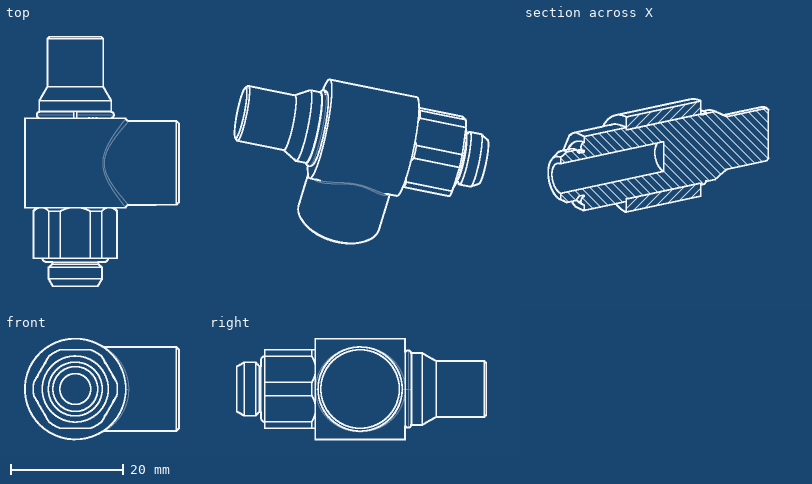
import cadquery as cq
import math


HOUSING_RADIUS = 9.0
HOUSING_START = 14.0
HOUSING_LENGTH = 16.0
HOUSING_END = HOUSING_START + HOUSING_LENGTH
HOUSING_MIDDLE = HOUSING_START + HOUSING_LENGTH / 2
BRANCH_RADIUS = 7.5
BRANCH_REACH = 18.5
BRANCH_CHAMFER = 0.5
BRANCH_FILLET = 0.49

THREAD_RADIUS = 4.8
THREAD_END = 3.4
TIP_RADIUS = 4.0
TIP_TAPER_ANGLE = 30
TIP_TAPER_LENGTH = (THREAD_RADIUS - TIP_RADIUS) / math.tan(math.radians(TIP_TAPER_ANGLE))
NECK_RADIUS = 4.1
NECK_START = 4.0
BORE_RADIUS = 2.75
BORE_DEPTH = HOUSING_MIDDLE

HEX_START = 5.0
HEX_ACROSS_FLATS = 14.0
HEX_ACROSS_CORNERS = HEX_ACROSS_FLATS / math.cos(math.radians(30))
HEX_TURNED_RADIUS = 7.5
HEX_CHAMFER_LENGTH = 0.6
HEX_CHAMFER_DEPTH = 0.43

SEAL_TUBE_RADIUS = 0.8
SEAL_OUTER_RADIUS = 5.9
SEAL_CENTRE_RADIUS = SEAL_OUTER_RADIUS - SEAL_TUBE_RADIUS
SEAL_FRONT = 4.33

SHANK_RADIUS = 6.45
COLLAR_END = 33.05
GRIP_RADIUS = 5.0
GRIP_TAPER_ANGLE = 30
GRIP_START = COLLAR_END + (SHANK_RADIUS - GRIP_RADIUS) / math.tan(math.radians(GRIP_TAPER_ANGLE))
SCREW_LENGTH = 44.5
GRIP_CHAMFER = 0.4

RING_TUBE_RADIUS = 0.55
RING_OUTER_RADIUS = 6.9
RING_CENTRE_RADIUS = RING_OUTER_RADIUS - RING_TUBE_RADIUS
RING_GAP = 0.5
GROOVE_RADIUS = RING_CENTRE_RADIUS
GROOVE_END = HOUSING_END + 1.2


def revolve_about_y(profile):
    return profile.revolve(360, (0, 0, 0), (0, 1, 0))


def turned(points):
    """Revolve a closed (radius, y) outline about the screw axis."""
    return revolve_about_y(cq.Workplane("XY").polyline(points).close())


def cylinder_y(radius, start, end):
    return cq.Workplane("XZ", origin=(0, start, 0)).circle(radius).extrude(start - end)


def torus_y(centre_radius, tube_radius, y):
    return revolve_about_y(cq.Workplane("XY").moveTo(centre_radius, y).circle(tube_radius))


def make_housing():
    barrel = cylinder_y(HOUSING_RADIUS, HOUSING_START, HOUSING_END)
    branch = (
        cq.Workplane("YZ")
        .center(HOUSING_MIDDLE, 0)
        .circle(BRANCH_RADIUS)
        .extrude(BRANCH_REACH)
        .faces(">X")
        .chamfer(BRANCH_CHAMFER)
    )
    rim_margin = (HOUSING_LENGTH / 2 - BRANCH_RADIUS) / 2
    joint_zone = cq.selectors.BoxSelector(
        (0, HOUSING_START + rim_margin, -HOUSING_RADIUS),
        ((HOUSING_RADIUS + BRANCH_REACH) / 2, HOUSING_END - rim_margin, HOUSING_RADIUS),
        boundingbox=True,
    )
    body = barrel.union(branch).edges(joint_zone).fillet(BRANCH_FILLET)
    return body.cut(cylinder_y(SHANK_RADIUS, HOUSING_START, HOUSING_END))


def make_hexagon():
    prism = (
        cq.Workplane("XZ", origin=(0, HEX_START, 0))
        .polygon(6, HEX_ACROSS_CORNERS)
        .extrude(HEX_START - HOUSING_START)
    )
    turned_envelope = turned([
        (0, HEX_START),
        (HEX_TURNED_RADIUS, HEX_START),
        (HEX_TURNED_RADIUS, HOUSING_START - HEX_CHAMFER_LENGTH),
        (HEX_TURNED_RADIUS - HEX_CHAMFER_DEPTH, HOUSING_START),
        (0, HOUSING_START),
    ])
    return prism.intersect(turned_envelope)


def make_retaining_ring():
    ring_middle = HOUSING_END + RING_TUBE_RADIUS
    ring = torus_y(RING_CENTRE_RADIUS, RING_TUBE_RADIUS, ring_middle)
    gap = (
        cq.Workplane("XY", origin=(0, ring_middle, 0))
        .rect(RING_GAP, 2 * RING_TUBE_RADIUS)
        .extrude(RING_OUTER_RADIUS)
    )
    return ring.cut(gap)


def make_screw():
    core = turned([
        (0, 0),
        (TIP_RADIUS, 0),
        (THREAD_RADIUS, TIP_TAPER_LENGTH),
        (THREAD_RADIUS, THREAD_END),
        (NECK_RADIUS, NECK_START),
        (NECK_RADIUS, HEX_START),
        (SHANK_RADIUS, HEX_START),
        (SHANK_RADIUS, HOUSING_END),
        (GROOVE_RADIUS, HOUSING_END),
        (GROOVE_RADIUS, GROOVE_END),
        (SHANK_RADIUS, GROOVE_END),
        (SHANK_RADIUS, COLLAR_END),
        (GRIP_RADIUS, GRIP_START),
        (GRIP_RADIUS, SCREW_LENGTH - GRIP_CHAMFER),
        (GRIP_RADIUS - GRIP_CHAMFER, SCREW_LENGTH),
        (0, SCREW_LENGTH),
    ])
    seal = torus_y(SEAL_CENTRE_RADIUS, SEAL_TUBE_RADIUS, SEAL_FRONT + SEAL_TUBE_RADIUS)
    screw = core.union(make_hexagon()).union(seal).union(make_retaining_ring())
    return screw.cut(cylinder_y(BORE_RADIUS, 0, BORE_DEPTH))


housing = make_housing()
screw = make_screw()

result = cq.Compound.makeCompound([housing.val(), screw.val()])